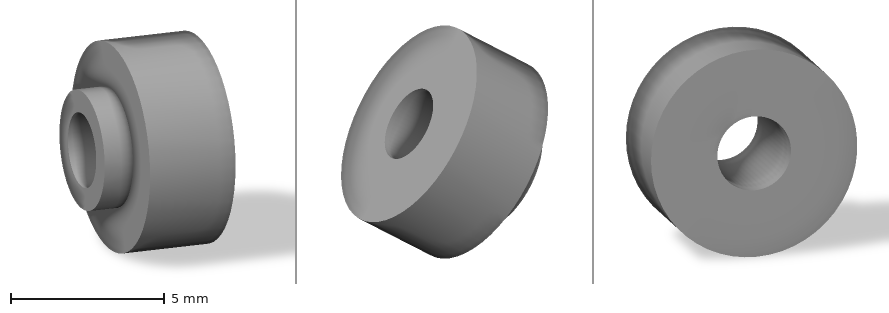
import cadquery as cq

body_diameter = 7.0
boss_diameter = 4.0
bore_diameter = 2.5
total_length = 4.0
body_length = 3.0
boss_length = total_length - body_length

body = cq.Workplane("XZ").circle(body_diameter / 2).extrude(body_length)

bushing = body.faces("<Y").workplane().circle(boss_diameter / 2).extrude(boss_length)

bore = cq.Workplane("XZ").circle(bore_diameter / 2).extrude(total_length)

result = bushing.cut(bore)